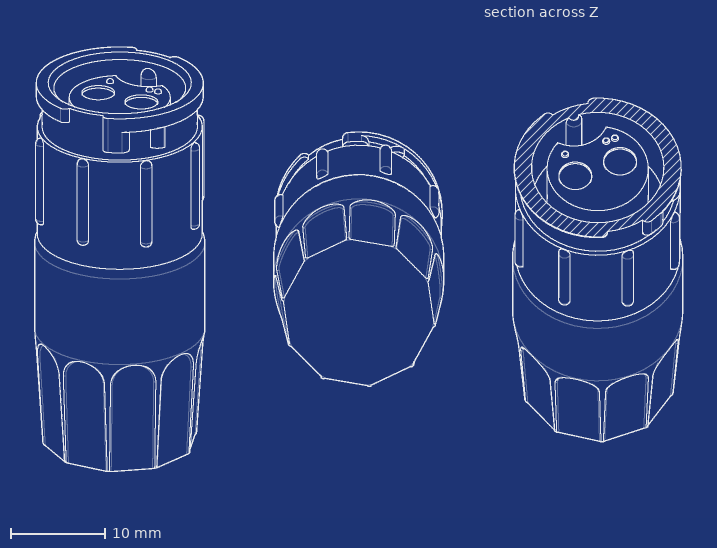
import cadquery as cq
import math

total_height = 41.91
flange_height = 1.6
lug_height = 2.4
flange_bottom = total_height - flange_height
lug_bottom = flange_bottom - lug_height
sleeve_top = total_height - 5.15
sleeve_bottom = total_height - 17.75
grip_height = 13.1

flange_radius = 8.88
neck_radius = 8.25
sleeve_radius = 8.76
body_radius = 9.05
body_fillet = 1.0

rib_count = 8
rib_radius = 0.64
rib_top = sleeve_top - 0.05
rib_length = 10.1

flat_count = 10
grip_bottom_radius = 8.25
grip_bottom_fillet = 0.25
flat_bottom_apothem = 7.75
flat_half_width = 2.45
flat_corner_fillet = 0.22
flat_top_gap = 0.1
flat_cutter_depth = 3.0
taper_angle = math.degrees(math.atan((body_radius - grip_bottom_radius) / grip_height))

bayonet_root_radius = 7.8
notch_inner_angle = 14.0
notch_outer_angle = 18.5
lug_middle_angle = 23.0
pocket_start_outer_angle = 28.0
pocket_start_inner_angle = 33.5
pocket_end_inner_angle = 49.9
pocket_end_outer_angle = 58.5
stop_end_angle = 59.3
quarter_turn = 90.0
entry_directions = (-90.0, 90.0)

bore_radius = 7.0
bore_depth = 8.0
bore_floor = total_height - bore_depth
bore_chamfer = 0.6

insert_radius = 5.37
insert_top = total_height - 1.7
scallop_radius = 3.65
contact_spacing = 5.1
contact_radius = 1.75
contact_recess = 0.3
bead_radius = 0.38
bead_y = 2.9
bead_x_positions = (-2.58, 2.1, 3.1)

key_radius = 0.88
key_dome_center = total_height - 2.2


def cylinder(radius, bottom, top):
    """Cylinder about the Z axis between two heights."""
    return cq.Workplane("XY").workplane(offset=bottom).circle(radius).extrude(top - bottom)


def polar(radius, angle):
    """XY point at a radius and an angle in degrees."""
    return (radius * math.cos(math.radians(angle)), radius * math.sin(math.radians(angle)))


def rounded_sector(start, outer_end, inner_end, bottom, top):
    """Flange segment about +X whose far end curves smoothly down to the neck."""
    outline = (
        cq.Workplane("XY")
        .workplane(offset=bottom)
        .moveTo(*polar(bayonet_root_radius, start))
        .lineTo(*polar(flange_radius, start))
        .threePointArc(
            polar(flange_radius, (start + outer_end) / 2),
            polar(flange_radius, outer_end),
        )
        .tangentArcPoint(polar(neck_radius, inner_end), relative=False)
        .lineTo(*polar(bayonet_root_radius, inner_end))
        .threePointArc(
            polar(bayonet_root_radius, (start + inner_end) / 2),
            polar(bayonet_root_radius, start),
        )
        .close()
    )
    return outline.extrude(top - bottom)


def make_bayonet_lugs():
    """Guide lug and stop lug under the flange, with the locking pocket between them."""
    guide_entry_side = rounded_sector(
        lug_middle_angle, notch_outer_angle, notch_inner_angle, lug_bottom, flange_bottom
    )
    guide_pocket_side = rounded_sector(
        lug_middle_angle, pocket_start_outer_angle, pocket_start_inner_angle, lug_bottom, flange_bottom
    )
    stop = rounded_sector(
        stop_end_angle, pocket_end_outer_angle, pocket_end_inner_angle, lug_bottom, flange_bottom
    )
    return guide_entry_side.union(guide_pocket_side).union(stop)


def make_bayonet_half():
    """Half of the mating flange about an entry notch on +X, with its lugs underneath."""
    flange_side = rounded_sector(
        quarter_turn, notch_outer_angle, notch_inner_angle, flange_bottom, total_height
    )
    return flange_side.union(flange_side.mirror("XZ")).union(make_bayonet_lugs())


def make_rib():
    """Capsule-shaped rib on the +X side of the sleeve."""
    straight_length = rib_length - 2 * rib_radius
    capsule = (
        cq.Workplane("XZ")
        .moveTo(0, -rib_radius)
        .threePointArc(polar(rib_radius, -45), (rib_radius, 0))
        .lineTo(rib_radius, straight_length)
        .tangentArcPoint((0, straight_length + rib_radius), relative=False)
        .close()
        .revolve(360, (0, 0), (0, 1))
    )
    return capsule.translate((sleeve_radius, 0, rib_top - rib_length + rib_radius))


def make_grip():
    """Conical grip with arched flats sunk into it, parallel to the cone surface."""
    grip = (
        cq.Workplane("XZ")
        .polyline([(0, 0), (grip_bottom_radius, 0), (body_radius, grip_height), (0, grip_height)])
        .close()
        .revolve(360, (0, 0), (0, 1))
        .faces("<Z")
        .edges()
        .fillet(grip_bottom_fillet)
    )
    arch_top = grip_height - flat_top_gap
    arch_spring = arch_top - flat_half_width
    cutter_bottom = -1.0
    cutter = (
        cq.Workplane("YZ")
        .moveTo(-flat_half_width, cutter_bottom)
        .lineTo(flat_half_width, cutter_bottom)
        .lineTo(flat_half_width, arch_spring)
        .threePointArc((0, arch_top), (-flat_half_width, arch_spring))
        .close()
        .extrude(flat_cutter_depth)
        .faces("<X")
        .edges()
        .edges(">Z or >Y or <Y")
        .fillet(flat_corner_fillet)
        .rotate((0, 0, 0), (0, 1, 0), taper_angle)
        .translate((flat_bottom_apothem, 0, 0))
    )
    for index in range(flat_count):
        angle = quarter_turn + index * 360 / flat_count
        grip = grip.cut(cutter.rotate((0, 0, 0), (0, 0, 1), angle))
    return grip


def make_insert():
    """Scalloped contact insert with two shallow contact recesses and three beads."""
    insert = cylinder(insert_radius, bore_floor, insert_top)
    scallop = cylinder(scallop_radius, bore_floor, insert_top).translate((0, bore_radius, 0))
    insert = insert.cut(scallop)
    recess = cylinder(contact_radius, insert_top - contact_recess, insert_top)
    for side in (-1, 1):
        insert = insert.cut(recess.translate((side * contact_spacing / 2, 0, 0)))
    for bead_x in bead_x_positions:
        bead = cq.Workplane("XY").sphere(bead_radius).translate((bead_x, bead_y, insert_top))
        insert = insert.union(bead)
    return insert


def make_key_pin():
    """Domed key pin half sunk into the +Y side of the bore wall."""
    dome = cq.Workplane("XY").sphere(key_radius).translate((0, 0, key_dome_center))
    pin = cylinder(key_radius, bore_floor, key_dome_center).union(dome)
    inside_wall = cylinder(neck_radius, bore_floor, total_height)
    return pin.translate((0, bore_radius, 0)).intersect(inside_wall)


body = cylinder(body_radius, grip_height, sleeve_bottom).faces(">Z").edges().fillet(body_fillet)
sleeve = cylinder(sleeve_radius, sleeve_bottom, sleeve_top)
neck = cylinder(neck_radius, sleeve_top, total_height)
shell = make_grip().union(body).union(sleeve).union(neck)

bayonet_half = make_bayonet_half()
for direction in entry_directions:
    shell = shell.union(bayonet_half.rotate((0, 0, 0), (0, 0, 1), direction))

rib = make_rib()
for index in range(rib_count):
    shell = shell.union(rib.rotate((0, 0, 0), (0, 0, 1), index * 360 / rib_count))

bore = cylinder(bore_radius, bore_floor, total_height)
mouth = cq.Workplane(
    cq.Solid.makeCone(
        bore_radius,
        bore_radius + bore_chamfer,
        bore_chamfer,
        pnt=cq.Vector(0, 0, total_height - bore_chamfer),
    )
)
result = shell.cut(bore).cut(mouth).union(make_insert()).union(make_key_pin())